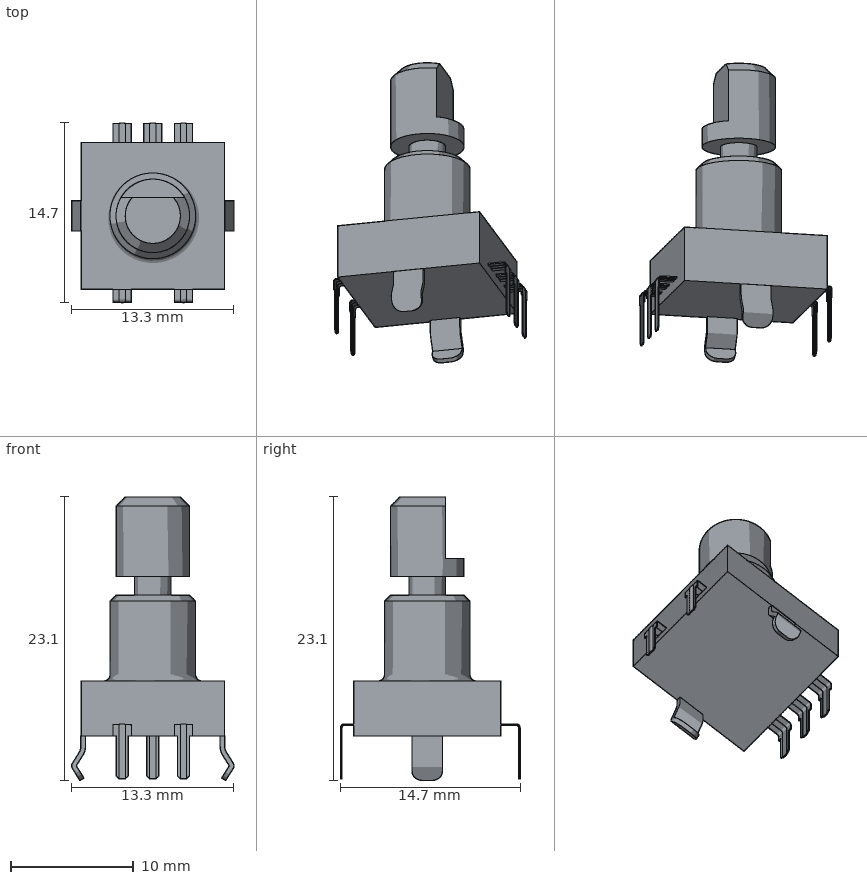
import cadquery as cq
import math

housing_length = 11.7
housing_width = 12.0
housing_height = 4.5

bushing_diameter = 7.0
bushing_height = 7.0
bushing_chamfer = 0.5
bushing_root_fillet = 0.5
bushing_top = housing_height + bushing_height

neck_diameter = 3.0
neck_height = 1.5
shaft_diameter = 6.0
shaft_height = 6.5
shaft_chamfer = 0.75
flat_offset = 1.5
flat_length = 5.0
shaft_bottom = bushing_top + neck_height
shaft_top = shaft_bottom + shaft_height

clip_width = 2.5
clip_thickness = 0.4
clip_top_x = 5.48
clip_reach_x = 6.63
clip_knee_z = -2.43
clip_tip_z = -3.64
clip_angle = math.radians(32)
clip_bend_radius = 0.9
clip_tip_radius = 0.9

terminal_pitch = 2.5
terminal_z = 0.9
terminal_tip_z = -3.5
terminal_width = 1.5
terminal_thickness = 0.1
terminal_bend_radius = 0.23
leg_width = 1.0
leg_tip_chamfer = 0.25
rib_width = 0.52
rib_height = 0.04
front_leg_y = 7.0
rear_leg_y = 7.5


def make_clip():
    """Clip on the +X side: straight down, outward to a knee, then back inward."""
    sin_a = math.sin(clip_angle)
    cos_a = math.cos(clip_angle)
    outer_bend = clip_bend_radius + clip_thickness
    outer_top_x = clip_top_x + clip_thickness

    knee_x = clip_reach_x - clip_thickness
    knee_z = clip_knee_z
    tip_length = (knee_z - clip_tip_z - clip_thickness * sin_a) / cos_a
    tip_x = knee_x - tip_length * sin_a
    tip_z = knee_z - tip_length * cos_a

    corner_z = knee_z + (knee_x - clip_top_x) / math.tan(clip_angle)
    bend_x = clip_top_x + outer_bend
    bend_z = corner_z + outer_bend * math.tan(clip_angle / 2)

    def on_bend(radius, angle):
        return (bend_x - radius * math.cos(angle), bend_z - radius * math.sin(angle))

    profile = (
        cq.Workplane("XZ")
        .moveTo(clip_top_x, 0)
        .lineTo(clip_top_x, bend_z)
        .threePointArc(on_bend(outer_bend, clip_angle / 2), on_bend(outer_bend, clip_angle))
        .lineTo(knee_x, knee_z)
        .lineTo(tip_x, tip_z)
        .lineTo(tip_x + clip_thickness * cos_a, tip_z - clip_thickness * sin_a)
        .lineTo(knee_x + clip_thickness * cos_a, knee_z - clip_thickness * sin_a)
        .threePointArc(
            (clip_reach_x, knee_z),
            (knee_x + clip_thickness * cos_a, knee_z + clip_thickness * sin_a),
        )
        .lineTo(*on_bend(clip_bend_radius, clip_angle))
        .threePointArc(on_bend(clip_bend_radius, clip_angle / 2), (outer_top_x, bend_z))
        .lineTo(outer_top_x, 0)
        .close()
    )
    strip = profile.extrude(clip_width / 2, both=True)
    tip_edges = cq.selectors.ParallelDirSelector(cq.Vector(cos_a, 0, -sin_a))
    return strip.edges(tip_edges).fillet(clip_tip_radius)


def make_housing():
    """Block with the bushing on top and a clip under each X side."""
    block = cq.Workplane("XY").box(
        housing_length, housing_width, housing_height, centered=(True, True, False)
    )
    root_radius = bushing_diameter / 2 + bushing_root_fillet
    bushing = (
        cq.Workplane("XZ")
        .moveTo(0, housing_height)
        .lineTo(root_radius, housing_height)
        .radiusArc((bushing_diameter / 2, housing_height + bushing_root_fillet), bushing_root_fillet)
        .lineTo(bushing_diameter / 2, bushing_top - bushing_chamfer)
        .lineTo(bushing_diameter / 2 - bushing_chamfer, bushing_top)
        .lineTo(0, bushing_top)
        .close()
        .revolve(360, (0, 0, 0), (0, 1, 0))
    )
    clip = make_clip()
    return block.union(bushing).union(clip).union(clip.mirror("YZ"))


def make_shaft():
    """Chamfered shaft on a thinner neck, with a flat on the +Y side of its upper part."""
    neck = cq.Workplane("XY", origin=(0, 0, bushing_top)).circle(neck_diameter / 2).extrude(neck_height)
    body = (
        cq.Workplane("XY", origin=(0, 0, shaft_bottom))
        .circle(shaft_diameter / 2)
        .extrude(shaft_height)
        .faces(">Z")
        .chamfer(shaft_chamfer)
    )
    flat_cut = cq.Workplane("XY", origin=(0, flat_offset, shaft_top - flat_length)).box(
        shaft_diameter, shaft_diameter, flat_length, centered=(True, False, False)
    )
    return neck.union(body.cut(flat_cut))


def make_terminal(x, leg_y):
    """Terminal leaving the -Y face of the housing, its leg centred on Y = -leg_y."""
    housing_face_y = -housing_width / 2
    half_width = terminal_width / 2
    half_rib = rib_width / 2
    outer = terminal_thickness / 2
    inner = -outer

    section = (
        cq.Workplane("XZ", origin=(x, housing_face_y, terminal_z))
        .moveTo(-half_width, inner)
        .lineTo(-half_rib, inner)
        .lineTo(-half_rib, inner + rib_height)
        .lineTo(half_rib, inner + rib_height)
        .lineTo(half_rib, inner)
        .lineTo(half_width, inner)
        .lineTo(half_width, outer)
        .lineTo(half_rib, outer)
        .threePointArc((0, outer + rib_height), (-half_rib, outer))
        .lineTo(-half_width, outer)
        .close()
    )
    path = (
        cq.Workplane("YZ", origin=(x, 0, 0))
        .moveTo(housing_face_y, terminal_z)
        .lineTo(-leg_y + terminal_bend_radius, terminal_z)
        .radiusArc((-leg_y, terminal_z - terminal_bend_radius), -terminal_bend_radius)
        .lineTo(-leg_y, terminal_tip_z)
    )
    strip = section.sweep(path)

    half_leg = leg_width / 2
    outline = (
        cq.Workplane("XZ", origin=(x, 0, 0))
        .moveTo(-half_width, terminal_z + terminal_thickness)
        .lineTo(-half_width, 0)
        .lineTo(-half_leg, 0)
        .lineTo(-half_leg, terminal_tip_z + leg_tip_chamfer)
        .lineTo(-half_leg + leg_tip_chamfer, terminal_tip_z)
        .lineTo(half_leg - leg_tip_chamfer, terminal_tip_z)
        .lineTo(half_leg, terminal_tip_z + leg_tip_chamfer)
        .lineTo(half_leg, 0)
        .lineTo(half_width, 0)
        .lineTo(half_width, terminal_z + terminal_thickness)
        .close()
        .extrude(housing_width)
    )
    return strip.intersect(outline)


housing = make_housing()
shaft = make_shaft()

front_terminals = [make_terminal(x, front_leg_y) for x in (-terminal_pitch, terminal_pitch)]
rear_terminals = [
    make_terminal(x, rear_leg_y).mirror("XZ") for x in (-terminal_pitch, 0, terminal_pitch)
]

bodies = [housing, shaft] + front_terminals + rear_terminals
result = cq.Compound.makeCompound([body.solids().val() for body in bodies])